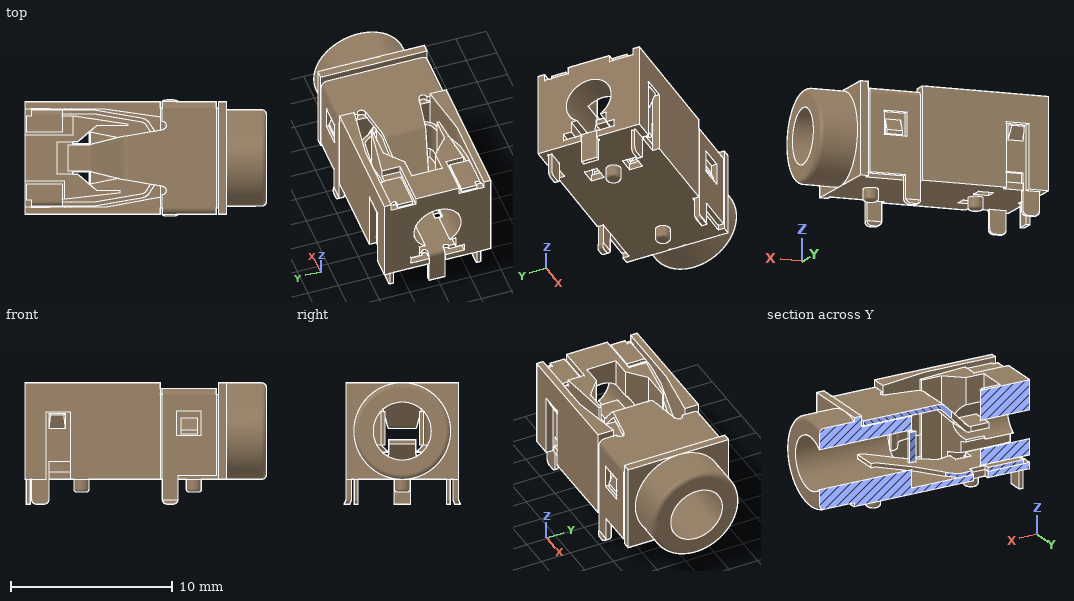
import cadquery as cq
import math

length = 15.0
body_width = 7.0
body_height = 6.0
half_width = body_width / 2
axis_height = body_height / 2

body_end = 8.4
flange_start = 12.0
flange_end = 12.52
neck_half_width = 3.09
neck_height = 5.28
barrel_diameter = 6.0
barrel_fillet = 0.3
mouth_diameter = 3.6
back_bore_diameter = 3.09
floor_height = 0.45
back_wall = 0.4
channel_outer = 3.05
block_end = 2.0
block_arm_end = 3.28
block_opening = 1.0
fin_inner = 2.01
fin_taper_end = 4.45
opening_depth = 4.5
cavity_sides = [
    (1, 3.0, 2.61, 6.39, 2.1, 4.88, 2.55),
    (-1, 2.46, 2.55, 5.9, 2.16, 5.05, 2.43),
]
pocket_floor = 5.54
pocket_inner = 1.42
window_start = 1.32
window_end = 2.82
window_height = 4.17
low_slot_half = 1.75
low_slot_top = 0.93
high_slot_half = 1.2
high_slot_top = 1.68
leg_notch_end = 0.45
floor_hole_start = 2.98
floor_hole_end = 3.99
pin_diameter = 0.95
pin_length = 0.8
pin_fillet = 0.18
pin_positions = [3.51, 10.48]
snap_start = 9.69
snap_end = 10.71
snap_bottom = 2.8
snap_edge = 3.06
snap_top = 3.8
snap_height = 0.3

leg_bottom = -1.55

shield_thickness = 0.36
shield_top = 5.65
shield_start = 8.52
shield_end = 11.88
shield_bottom = 0.25
shield_bend = 0.24
shield_leg_width = 0.99
shield_flare_top = -1.28
shield_flare = 0.112
shield_leg_round = 0.32
shield_window = (9.42, 10.94, 2.72, 4.25)
shield_notch_radius = 0.25
shield_notch_offset = 2.02
tongue_tip = 2.67
tongue_tip_top = 3.51
tongue_root = 6.3
tongue_bend = 0.45
tongue_half_outline = [
    (2.67, 0.8), (3.96, 0.8), (4.17, 0.87), (6.03, 1.34), (6.48, 1.4), (8.7, 1.78),
]

contact_thickness = 0.24
contact_outer = 2.98
contact_start = 0.4
contact_bottom = 1.12
contact_bend = 0.18
contact_plate_end = 2.86
tab_start = 0.09
tab_end = 2.32
tab_inner = 1.6
tab_outer = 2.61
arm_bottom = 2.13
arm_root_top = 5.54
arm_top = 4.2
arm_slope_end = 7.28
arm_bend = 0.6
arm_bend_x = 4.28
arm_elbow = (7.5, 2.31)
arm_contact = (8.22, 1.18)
arm_tip = (8.58, 1.18)
contact_leg_end = 1.5
contact_leg_round = 0.32
barb_start = 1.5
barb_end = 2.5
barb_bottom = 3.15
barb_edge = 3.99
barb_top = 4.1
barb_height = 0.45
barb_taper = 0.09

bottom_thickness = 0.27
bottom_leg_back = 0.08
bottom_leg_half = 0.52
bottom_leg_bend = 0.18
wing_start = 0.42
wing_half = 1.6
relief_width = 0.36
rise_start = 5.1
spring_crest = (10.8, 2.34)
spring_tip = (11.1, 2.34)
spring_tip_half = 0.84
taper_end = 7.9
waist_end = 4.08
neck_strip_half = 0.88
spring_bend = 0.3


def block(x0, x1, y0, y1, z0, z1):
    """Box between two opposite corners."""
    return cq.Workplane("XY").box(x1 - x0, y1 - y0, z1 - z0, centered=False).translate((x0, y0, z0))


def prism(points, z0, z1):
    """Vertical prism over a closed outline in X and Y."""
    return cq.Workplane("XY").workplane(offset=z0).polyline(points).close().extrude(z1 - z0)


def mirrored_outline(half_outline):
    """Closed outline symmetric about the X axis."""
    return half_outline + [(x, -y) for x, y in reversed(half_outline)]


def bent_sheet(plane, offset, path, bend, thickness, width):
    """Sheet of constant thickness along a mid-line path whose corners are rounded."""
    line = cq.Workplane(plane).workplane(offset=offset).moveTo(*path[0])
    for before, corner, after in zip(path, path[1:], path[2:]):
        angle_in = math.atan2(corner[1] - before[1], corner[0] - before[0])
        angle_out = math.atan2(after[1] - corner[1], after[0] - corner[0])
        turn = abs(math.remainder(angle_out - angle_in, math.tau))
        reach = bend * math.tan(turn / 2)
        line = line.lineTo(corner[0] - reach * math.cos(angle_in), corner[1] - reach * math.sin(angle_in))
        line = line.tangentArcPoint(
            (corner[0] + reach * math.cos(angle_out), corner[1] + reach * math.sin(angle_out)),
            relative=False,
        )
    line = line.lineTo(*path[-1])
    start = line.plane.toWorldCoords(path[0])
    direction = line.plane.toWorldCoords(path[1]) - start
    section = cq.Plane(origin=start, xDir=line.plane.zDir, normal=direction)
    return cq.Workplane(section).rect(width, thickness).sweep(line.wire())


def make_cavity_core():
    """Centre block with the bore, flanked by two tapering fins."""
    outline = []
    for side, pocket_end, fin_root, fin_end, fin_tip, _, _ in cavity_sides:
        half = [
            (block_end, side * block_opening),
            (block_arm_end, side * block_opening),
            (fin_taper_end, side * fin_inner),
            (fin_end, side * fin_inner),
            (fin_end, side * fin_tip),
            (pocket_end, side * fin_root),
            (0, side * fin_root),
        ]
        outline += half if side > 0 else half[::-1]
    return prism(outline, 0, body_height)


def make_cavity():
    """Space between the side walls, left open at the top."""
    outline = []
    for side, _, _, _, _, bend_x, end_y in cavity_sides:
        half = [
            (back_wall, side * channel_outer),
            (bend_x, side * channel_outer),
            (body_end, side * end_y),
        ]
        outline += half if side > 0 else half[::-1]
    return prism(outline, floor_height, body_height)


def cut_contact_seats(body):
    """Top pockets, wall windows and floor slots of the two side contacts."""
    leg_inner = contact_outer - contact_thickness
    for side, pocket_end, _, _, _, _, _ in cavity_sides:
        seats = [
            (0, pocket_end, pocket_inner, channel_outer, pocket_floor, body_height),
            (window_start, window_end, channel_outer, half_width, 0, window_height),
            (back_wall, contact_leg_end, leg_inner, channel_outer, 0, floor_height),
            (floor_hole_start, floor_hole_end, neck_strip_half, low_slot_half, 0, floor_height),
        ]
        for x0, x1, near, far, z0, z1 in seats:
            y0, y1 = sorted((side * near, side * far))
            body = body.cut(block(x0, x1, y0, y1, z0, z1))
    return body


def cut_back_opening(body):
    """Round bore in the back and the stepped slot for the bottom contact."""
    bore = cq.Workplane("YZ").center(0, axis_height).circle(back_bore_diameter / 2).extrude(opening_depth)
    low_slot = block(0, opening_depth, -low_slot_half, low_slot_half, floor_height, low_slot_top)
    high_slot = block(0, opening_depth, -high_slot_half, high_slot_half, floor_height, high_slot_top)
    leg_notch = block(0, leg_notch_end, -bottom_leg_half, bottom_leg_half, 0, floor_height)
    return body.cut(bore).cut(low_slot).cut(high_slot).cut(leg_notch)


def make_snap(side):
    """Wedge on the neck that holds the shield window."""
    root = side * neck_half_width
    edge = side * (neck_half_width + snap_height)
    outline = [(root, snap_bottom), (edge, snap_bottom), (edge, snap_edge), (root, snap_top)]
    wedge = cq.Workplane("YZ").workplane(offset=snap_start).polyline(outline).close()
    return wedge.extrude(snap_end - snap_start)


def make_housing():
    """Open-topped body, neck with snaps, flange, bored barrel and locating pins."""
    body = block(0, body_end, -half_width, half_width, 0, body_height)
    body = body.cut(make_cavity().cut(make_cavity_core()))
    body = cut_contact_seats(body)
    body = cut_back_opening(body)

    front = block(body_end, flange_start, -neck_half_width, neck_half_width, 0, neck_height)
    front = front.union(block(flange_start, flange_end, -half_width, half_width, 0, body_height))
    barrel = (
        cq.Workplane("YZ").workplane(offset=flange_end).center(0, axis_height)
        .circle(barrel_diameter / 2).extrude(length - flange_end)
        .faces(">X").edges().fillet(barrel_fillet)
    )
    mouth = (
        cq.Workplane("YZ").workplane(offset=body_end).center(0, axis_height)
        .circle(mouth_diameter / 2).extrude(length - body_end)
    )
    front = front.union(barrel).cut(mouth)
    for side in (1, -1):
        front = front.union(make_snap(side))
    body = body.union(front)

    for x in pin_positions:
        pin = cq.Workplane("XY").center(x, 0).circle(pin_diameter / 2).extrude(-pin_length)
        body = body.union(pin.faces("<Z").edges().fillet(pin_fillet))
    return body


def make_shield_leg(side):
    """Leg with a flared, rounded foot."""
    outer = side * half_width
    inner = side * (half_width - shield_thickness)
    flare = side * shield_flare
    outline = [
        (outer, shield_bottom), (outer, shield_flare_top), (outer + flare, leg_bottom),
        (inner + flare, leg_bottom), (inner, shield_flare_top), (inner, shield_bottom),
    ]
    profile = cq.Workplane("YZ").workplane(offset=shield_start).polyline(outline).close()
    reach = half_width + shield_flare
    leg_end = shield_start + shield_leg_width
    trimmer = block(shield_start, leg_end, -reach, reach, leg_bottom, shield_bottom)
    trimmer = trimmer.faces("<Z").edges("|Y").fillet(shield_leg_round)
    return profile.extrude(shield_leg_width).intersect(trimmer)


def make_tongue():
    """Spring tongue that dips from the bridge down into the bore."""
    top_mid = shield_top - shield_thickness / 2
    tip_mid = tongue_tip_top - shield_thickness / 2
    root_end = tongue_half_outline[-1][0]
    path = [
        (root_end, top_mid),
        (tongue_root, top_mid),
        (tongue_root - (top_mid - tip_mid), tip_mid),
        (tongue_tip, tip_mid),
    ]
    sheet = bent_sheet("XZ", 0, path, tongue_bend, shield_thickness, body_width)
    return sheet.intersect(prism(mirrored_outline(tongue_half_outline), 0, body_height))


def make_shield():
    """Bridge bent over the neck, with windows, notches, tongue and two legs."""
    side_mid = half_width - shield_thickness / 2
    top_mid = shield_top - shield_thickness / 2
    path = [
        (-side_mid, shield_bottom), (-side_mid, top_mid), (side_mid, top_mid), (side_mid, shield_bottom),
    ]
    bridge_length = shield_end - shield_start
    bridge_middle = (shield_start + shield_end) / 2
    shield = bent_sheet("YZ", bridge_middle, path, shield_bend, shield_thickness, bridge_length)

    x0, x1, z0, z1 = shield_window
    shield = shield.cut(block(x0, x1, -half_width, half_width, z0, z1))
    notches = (
        cq.Workplane("XY").workplane(offset=neck_height)
        .pushPoints([(shield_start, shield_notch_offset), (shield_start, -shield_notch_offset)])
        .circle(shield_notch_radius).extrude(shield_top - neck_height)
    )
    shield = shield.cut(notches).union(make_tongue())
    for side in (1, -1):
        shield = shield.union(make_shield_leg(side))
    return shield


def make_side_contact(side):
    """Tab on the top pocket, plate in the channel, leg, barb and spring arm."""
    mid = contact_outer - contact_thickness / 2
    inner = contact_outer - contact_thickness
    tab_top = pocket_floor + contact_thickness
    tab_mid = pocket_floor + contact_thickness / 2

    path = [(mid, contact_bottom), (mid, tab_mid), (tab_inner, tab_mid)]
    plate_middle = (contact_start + tab_end) / 2
    plate_length = tab_end - contact_start
    contact = bent_sheet("YZ", plate_middle, path, contact_bend, contact_thickness, plate_length)
    contact = contact.union(block(tab_start, contact_start, tab_inner, tab_outer, pocket_floor, tab_top))
    plate_end = block(tab_end, contact_plate_end, inner, contact_outer, contact_bottom, arm_root_top)
    contact = contact.union(plate_end)

    arm_path = [(tab_end, mid), (arm_bend_x, mid), arm_elbow, arm_contact, arm_tip]
    arm_middle = (arm_bottom + arm_root_top) / 2
    arm_height = arm_root_top - arm_bottom
    arm = bent_sheet("XY", arm_middle, arm_path, arm_bend, contact_thickness, arm_height)
    arm_side = [
        (tab_end, arm_bottom), (tab_end, arm_root_top), (contact_plate_end, arm_root_top),
        (arm_slope_end, arm_top), (arm_tip[0], arm_top), (arm_tip[0], arm_bottom),
    ]
    arm = arm.intersect(cq.Workplane("XZ").polyline(arm_side).close().extrude(-half_width))
    contact = contact.union(arm)

    leg = block(contact_start, contact_leg_end, inner, contact_outer, leg_bottom, contact_bottom)
    contact = contact.union(leg.faces("<Z").edges("|Y").fillet(contact_leg_round))

    barb = (
        cq.Workplane("YZ").workplane(offset=barb_start)
        .polyline([
            (inner, barb_bottom), (contact_outer, barb_bottom),
            (contact_outer + barb_height, barb_edge), (contact_outer, barb_top), (inner, barb_top),
        ])
        .close().extrude(barb_end - barb_start)
    )
    barb_tip = contact_outer + barb_height
    barb_outline = [
        (barb_start, inner), (barb_start, contact_outer), (barb_start + barb_taper, barb_tip),
        (barb_end - barb_taper, barb_tip), (barb_end, contact_outer), (barb_end, inner),
    ]
    contact = contact.union(barb.intersect(prism(barb_outline, barb_bottom, barb_top)))
    return contact if side > 0 else contact.mirror("XZ")


def make_bottom_contact():
    """Flat winged plate with a leg at the back and a rising spring at the front."""
    plate_mid = floor_height + bottom_thickness / 2
    relief_middle = bottom_leg_half + relief_width / 2

    spring_path = [(wing_start, plate_mid), (rise_start, plate_mid), spring_crest, spring_tip]
    spring = bent_sheet("XZ", 0, spring_path, spring_bend, bottom_thickness, 2 * wing_half)
    half_outline = [
        (wing_start, wing_half), (floor_hole_start, wing_half), (floor_hole_start, neck_strip_half),
        (waist_end, neck_strip_half), (waist_end, wing_half),
        (taper_end, spring_tip_half), (spring_tip[0], spring_tip_half),
    ]
    spring = spring.intersect(prism(mirrored_outline(half_outline), 0, body_height))

    reliefs = (
        cq.Workplane("XY").workplane(offset=floor_height)
        .pushPoints([(wing_start, relief_middle), (wing_start, -relief_middle)])
        .circle(relief_width / 2).extrude(bottom_thickness)
    )
    spring = spring.cut(reliefs)

    leg_mid = bottom_leg_back + bottom_thickness / 2
    leg_path = [(leg_mid, leg_bottom), (leg_mid, plate_mid), (floor_hole_start, plate_mid)]
    leg = bent_sheet("XZ", 0, leg_path, bottom_leg_bend, bottom_thickness, 2 * bottom_leg_half)
    return spring.union(leg)


housing = make_housing().solids()
shield = make_shield().solids()
side_contacts = [make_side_contact(side).solids() for side in (1, -1)]
bottom_contact = make_bottom_contact().solids()

result = cq.Compound.makeCompound(
    [housing.val(), shield.val(), *[contact.val() for contact in side_contacts], bottom_contact.val()]
)